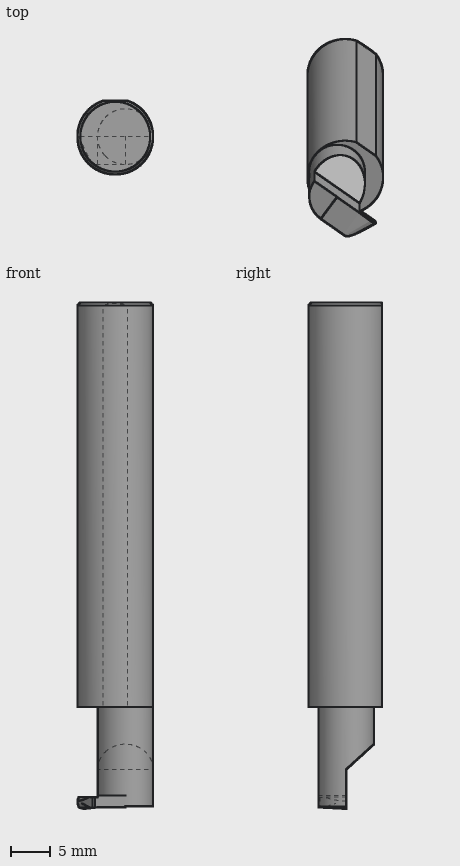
import cadquery as cq

total_length = 63.5
shank_diameter = 9.5
shank_radius = shank_diameter / 2
flat_offset = 4.5
chamfer_width = 0.4
chamfer_height = 0.4
shank_bottom = 12.75

neck_diameter = 7.0
neck_radius = neck_diameter / 2
neck_center_x = shank_radius - neck_radius
neck_bottom = 0.3
relief_start = 4.95
relief_end = 8.1

arm_bottom = 0.2
arm_top = 1.7
heel_x = -2.55
heel_chamfer_x = 0.3
heel_chamfer_y = 0.2
flank_middle_x = -3.95
flank_middle_y = -1.7

tip_top = 1.5
tip_offset = 0.8
bevel_width = 0.2
land_bottom = 0.8
land_top = 1.0
heel_nose_x = -3.3
heel_bevel_width = 0.4
top_clearance = 0.05


def make_shank():
    shank = (
        cq.Workplane("XY", origin=(0, 0, shank_bottom))
        .circle(shank_radius)
        .extrude(total_length - shank_bottom)
        .faces(">Z")
        .chamfer(chamfer_height, chamfer_width)
    )
    beyond_flat = (
        cq.Workplane("XY")
        .center(0, flat_offset + shank_radius)
        .rect(2 * shank_diameter, shank_diameter)
        .extrude(total_length)
    )
    return shank.cut(beyond_flat)


def make_neck():
    neck = (
        cq.Workplane("XY", origin=(neck_center_x, 0, neck_bottom))
        .circle(neck_radius)
        .extrude(shank_bottom - neck_bottom)
    )
    relief = (
        cq.Workplane("YZ")
        .polyline([(0, 0), (neck_radius, 0), (neck_radius, relief_end), (0, relief_start)])
        .close()
        .extrude(shank_diameter, both=True)
    )
    return neck.cut(relief)


def make_arm():
    """Plate under the neck reaching to -X, with a curved flank behind the tip."""
    neck_left_x = neck_center_x - neck_radius
    outline = (
        cq.Workplane("XY")
        .moveTo(-shank_radius, 0)
        .threePointArc(
            (flank_middle_x, flank_middle_y),
            (heel_x - heel_chamfer_x, -neck_radius + heel_chamfer_y),
        )
        .lineTo(heel_x, -neck_radius)
        .lineTo(neck_center_x, -neck_radius)
        .lineTo(neck_center_x, 0)
        .close()
        .extrude(arm_top)
    )

    def nose_section(nose_x, bevel, bottom, top):
        return [
            (nose_x, land_bottom),
            (nose_x + bevel, arm_bottom),
            (nose_x + tip_offset, bottom),
            (neck_left_x, arm_bottom),
            (neck_left_x, top),
            (nose_x + bevel, top),
            (nose_x, land_top),
        ]

    nose = (
        cq.Workplane("XZ")
        .polyline(nose_section(-shank_radius, bevel_width, 0, tip_top))
        .close()
        .workplane(offset=neck_radius)
        .polyline(nose_section(heel_nose_x, heel_bevel_width, arm_bottom, tip_top - top_clearance))
        .close()
        .loft(ruled=True)
    )
    base = (
        cq.Workplane("XY")
        .box(neck_radius, neck_radius, arm_top - arm_bottom, centered=False)
        .translate((neck_left_x, -neck_radius, arm_bottom))
    )
    return outline.intersect(nose.union(base))


result = make_shank().union(make_neck()).union(make_arm())